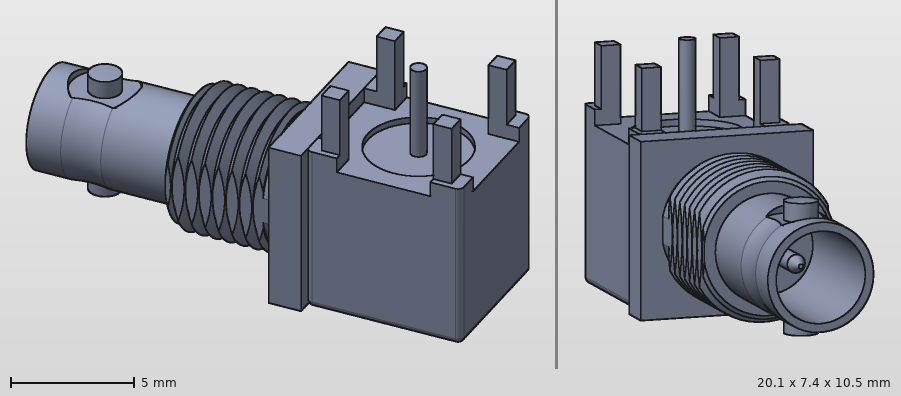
import cadquery as cq


LENGTH = 20.1

BARREL_DIAMETER = 4.55
BORE_DIAMETER = 3.82
LUG_X = 2.45
LUG_DIAMETER = 1.4
LUG_EDGE_HEIGHT = 2.73
LUG_CROWN_HEIGHT = 2.8
LUG_SEAT_DIAMETER = 3.01
LUG_SEAT_HEIGHT = 1.95
GROOVE_WIDTH = 1.8
GROOVE_DEPTH = 0.07

THREAD_START = 6.5
THREAD_END = 10.93
THREAD_LEAD_IN = 0.12
FIRST_CREST_X = 7.1
LAST_CREST_X = 10.75
CREST_COUNT = 7
CREST_RADIUS = 3.15
ROOT_RADIUS = 2.71
START_RADIUS = 2.77
NECK_RADIUS = 2.81
SHANK_FLAT_WIDTH = 5.5

FLANGE_START = 11.63
FLANGE_THICKNESS = 1.47
FLANGE_SIZE = 7.4
BLOCK_WIDTH = 6.47
BLOCK_EDGE_RADIUS = 0.26
PAD_LENGTH = 1.39
PAD_WIDTH = 1.1
PAD_HEIGHT = 0.66
LEG_SIZE = 0.82
LEG_HEIGHT = 2.61
RECESS_DIAMETER = 4.58
RECESS_DEPTH = 0.28

PIN_DIAMETER = 0.76
PIN_TIP_DIAMETER = 0.2
PIN_TIP_LENGTH = 0.6
LEAD_DIAMETER = 0.68
LEAD_TOP = 6.81

BARREL_RADIUS = BARREL_DIAMETER / 2
CREST_PITCH = (LAST_CREST_X - FIRST_CREST_X) / (CREST_COUNT - 1)
FLANGE_END = FLANGE_START + FLANGE_THICKNESS
FLANGE_TOP = FLANGE_SIZE / 2
BLOCK_LENGTH = LENGTH - FLANGE_END
BLOCK_X = FLANGE_END + BLOCK_LENGTH / 2
BLOCK_TOP = FLANGE_TOP - PAD_HEIGHT
RECESS_FLOOR = BLOCK_TOP - RECESS_DEPTH
BORE_DEPTH = THREAD_START
PIN_TIP_X = LUG_X


def cylinder_along_x(diameter, start, end):
    return cq.Workplane("YZ", origin=(start, 0, 0)).circle(diameter / 2).extrude(end - start)


def barrel():
    """Round bar, not yet bored, with a shallow concave groove around it at the lugs."""
    groove_floor = BARREL_RADIUS - GROOVE_DEPTH
    profile = (
        cq.Workplane("XZ")
        .lineTo(0, BARREL_RADIUS)
        .lineTo(LUG_X - GROOVE_WIDTH / 2, BARREL_RADIUS)
        .threePointArc((LUG_X, groove_floor), (LUG_X + GROOVE_WIDTH / 2, BARREL_RADIUS))
        .lineTo(THREAD_START, BARREL_RADIUS)
        .lineTo(THREAD_START, 0)
        .close()
    )
    return profile.revolve(360, (0, 0, 0), (1, 0, 0))


def lug_seat():
    """Round pocket above the flat on which the upper lug stands."""
    seat = cq.Workplane("XY", origin=(LUG_X, 0, LUG_SEAT_HEIGHT)).circle(LUG_SEAT_DIAMETER / 2)
    return seat.extrude(BARREL_RADIUS)


def lug():
    """Upper bayonet lug: a round post with a slightly domed end."""
    radius = LUG_DIAMETER / 2
    dome_rise = LUG_CROWN_HEIGHT - LUG_EDGE_HEIGHT
    dome_radius = (radius**2 + dome_rise**2) / (2 * dome_rise)
    post = cq.Workplane("XY", origin=(LUG_X, 0, 0)).circle(radius).extrude(LUG_CROWN_HEIGHT)
    dome = cq.Workplane("XY", origin=(LUG_X, 0, LUG_CROWN_HEIGHT - dome_radius)).sphere(dome_radius)
    return post.intersect(dome)


def shank():
    """V-threaded shank and its plain neck, with a flat on each side."""
    flank_slope = (CREST_RADIUS - ROOT_RADIUS) / (CREST_PITCH / 2)
    first_root = FIRST_CREST_X - CREST_PITCH / 2
    lead_in_end = THREAD_START + THREAD_LEAD_IN
    lead_in_radius = ROOT_RADIUS + flank_slope * (first_root - lead_in_end)
    run_out_radius = CREST_RADIUS - flank_slope * (THREAD_END - LAST_CREST_X)

    outline = [(THREAD_START, 0), (THREAD_START, START_RADIUS), (lead_in_end, lead_in_radius)]
    for index in range(CREST_COUNT):
        crest_x = FIRST_CREST_X + index * CREST_PITCH
        outline.append((crest_x - CREST_PITCH / 2, ROOT_RADIUS))
        outline.append((crest_x, CREST_RADIUS))
    outline += [
        (THREAD_END, run_out_radius),
        (THREAD_END, NECK_RADIUS),
        (FLANGE_START, NECK_RADIUS),
        (FLANGE_START, 0),
    ]
    round_shank = cq.Workplane("XZ").polyline(outline).close().revolve(360, (0, 0, 0), (1, 0, 0))
    between_flats = cq.Workplane("XY").box(2 * LENGTH, SHANK_FLAT_WIDTH, 2 * CREST_RADIUS)
    return round_shank.intersect(between_flats)


def flange():
    square = cq.Workplane("YZ", origin=(FLANGE_START, 0, 0)).rect(FLANGE_SIZE, FLANGE_SIZE)
    return square.extrude(FLANGE_THICKNESS)


def block():
    """Rounded block whose top is cut down in a cross, leaving a pad at each corner."""
    solid = (
        cq.Workplane("XY", origin=(BLOCK_X, 0, 0))
        .box(BLOCK_LENGTH, BLOCK_WIDTH, FLANGE_SIZE)
        .edges("|Z or <Z")
        .fillet(BLOCK_EDGE_RADIUS)
    )
    top = cq.Workplane("XY", origin=(BLOCK_X, 0, BLOCK_TOP))
    across = top.rect(BLOCK_LENGTH - 2 * PAD_LENGTH, BLOCK_WIDTH).extrude(PAD_HEIGHT)
    along = top.rect(BLOCK_LENGTH, BLOCK_WIDTH - 2 * PAD_WIDTH).extrude(PAD_HEIGHT)
    recess = top.circle(RECESS_DIAMETER / 2).extrude(-RECESS_DEPTH)
    return solid.cut(across).cut(along).cut(recess)


def legs():
    """Four square legs, each at the inner corner of its pad."""
    spacing_x = BLOCK_LENGTH - 2 * PAD_LENGTH + LEG_SIZE
    spacing_y = BLOCK_WIDTH - 2 * PAD_WIDTH + LEG_SIZE
    return (
        cq.Workplane("XY", origin=(BLOCK_X, 0, BLOCK_TOP))
        .rarray(spacing_x, spacing_y, 2, 2)
        .rect(LEG_SIZE, LEG_SIZE)
        .extrude(PAD_HEIGHT + LEG_HEIGHT)
    )


def center_pin():
    """Pointed pin standing on the floor of the bore."""
    cone = (
        cq.Workplane("YZ", origin=(PIN_TIP_X, 0, 0))
        .circle(PIN_TIP_DIAMETER / 2)
        .workplane(offset=PIN_TIP_LENGTH)
        .circle(PIN_DIAMETER / 2)
        .loft()
    )
    return cone.union(cylinder_along_x(PIN_DIAMETER, PIN_TIP_X + PIN_TIP_LENGTH, BORE_DEPTH))


def lead():
    """Round signal lead standing on the floor of the recess."""
    return (
        cq.Workplane("XY", origin=(BLOCK_X, 0, RECESS_FLOOR))
        .circle(LEAD_DIAMETER / 2)
        .extrude(LEAD_TOP - RECESS_FLOOR)
    )


def make_jack():
    """Front body: barrel, lugs, threaded shank, flange and center pin."""
    tube = barrel()
    for turn in (0, 180):
        tube = tube.cut(lug_seat().rotate((0, 0, 0), (1, 0, 0), turn))
        tube = tube.union(lug().rotate((0, 0, 0), (1, 0, 0), turn))
    bore = cylinder_along_x(BORE_DIAMETER, 0, BORE_DEPTH)
    return tube.union(shank()).union(flange()).cut(bore).union(center_pin())


def make_base():
    """Rear body: block, legs and signal lead, resting against the back of the flange."""
    return block().union(legs()).union(lead())


jack = make_jack()
base = make_base()

result = cq.Compound.makeCompound([jack.solids().val(), base.solids().val()])